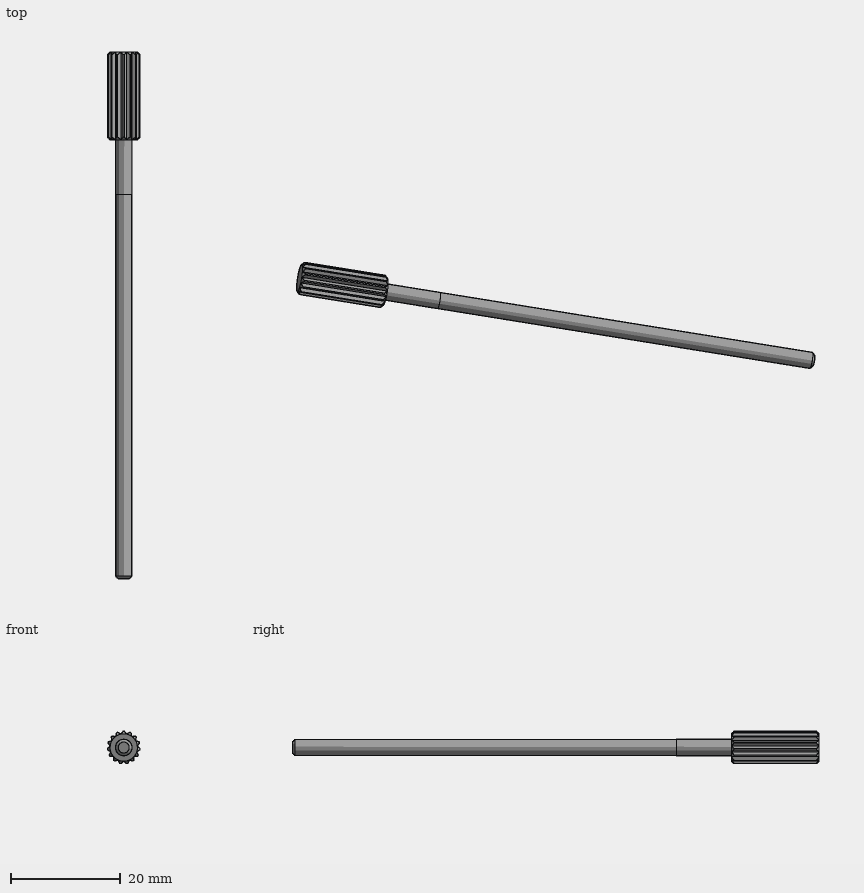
import cadquery as cq
import math

total_length = 96.0
head_length = 16.0
neck_length = 10.0
head_start = total_length - head_length
neck_start = head_start - neck_length

shank_diameter = 3.0
neck_diameter = 3.02
head_diameter = 6.0
tip_chamfer = 0.5

tooth_count = 15
first_tooth_angle = 90.0
flute_depth = 0.5
land_width = 0.25

front_chamfer = 0.5
back_chamfer = 0.5

head_radius = head_diameter / 2


def cylinder_along_y(diameter, start, length):
    """Solid cylinder on the Y axis, growing toward +Y."""
    plane = cq.Workplane("XZ", origin=(0, start, 0))
    return plane.circle(diameter / 2).extrude(-length)


def polar_point(radius, angle):
    """Point in the XZ section at an angle in degrees from +X toward +Z."""
    return (radius * math.cos(math.radians(angle)), radius * math.sin(math.radians(angle)))


def make_shank():
    shank = cylinder_along_y(shank_diameter, 0, neck_start)
    return shank.faces("<Y").chamfer(tip_chamfer)


def make_fluted_bar():
    """Head section with alternating lands and flutes, extruded over the head length."""
    pitch = 360 / tooth_count
    half_land = math.degrees(math.asin(land_width / head_diameter))
    outline = cq.Workplane("XZ", origin=(0, head_start, 0))
    outline = outline.moveTo(*polar_point(head_radius, first_tooth_angle - half_land))
    for index in range(tooth_count):
        land_angle = first_tooth_angle + index * pitch
        outline = outline.threePointArc(
            polar_point(head_radius, land_angle),
            polar_point(head_radius, land_angle + half_land),
        )
        outline = outline.lineTo(*polar_point(head_radius - flute_depth, land_angle + pitch / 2))
        outline = outline.lineTo(*polar_point(head_radius, land_angle + pitch - half_land))
    return outline.close().extrude(-head_length)


def make_head():
    """Fluted head, trimmed by a cylinder that carries both end chamfers."""
    envelope = cylinder_along_y(head_diameter, head_start, head_length)
    envelope = envelope.faces("<Y").chamfer(front_chamfer)
    envelope = envelope.faces(">Y").chamfer(back_chamfer)
    return make_fluted_bar().intersect(envelope)


neck = cylinder_along_y(neck_diameter, neck_start, neck_length)
result = make_shank().union(neck).union(make_head())